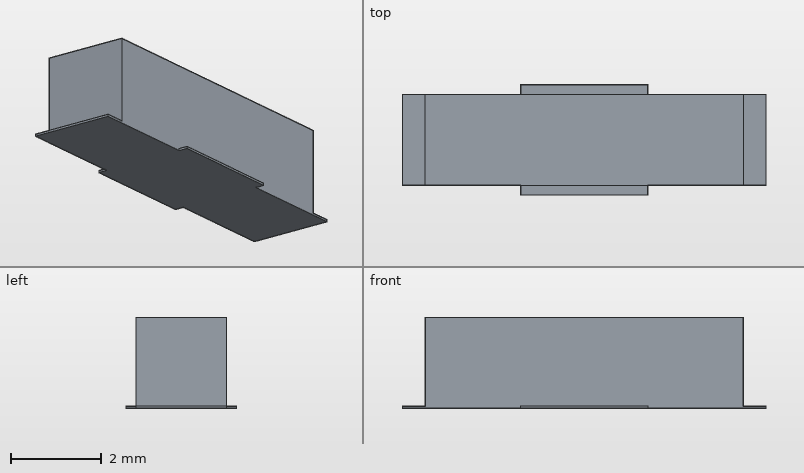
import cadquery as cq

body_length = 7.0
body_width = 2.0
body_height = 2.0

strip_thickness = 0.05
end_overhang = 0.5
side_overhang = 0.215
side_strip_length = 2.8

end_strip_length = body_length + 2 * end_overhang
side_strip_width = body_width + 2 * side_overhang


def block(length, width, height):
    """Block centred on the Z axis with its underside on Z = 0."""
    return cq.Workplane("XY").box(length, width, height, centered=(True, True, False))


body = block(body_length, body_width, body_height)
end_strip = block(end_strip_length, body_width, strip_thickness)
side_strip = block(side_strip_length, side_strip_width, strip_thickness)

result = body.union(end_strip).union(side_strip)